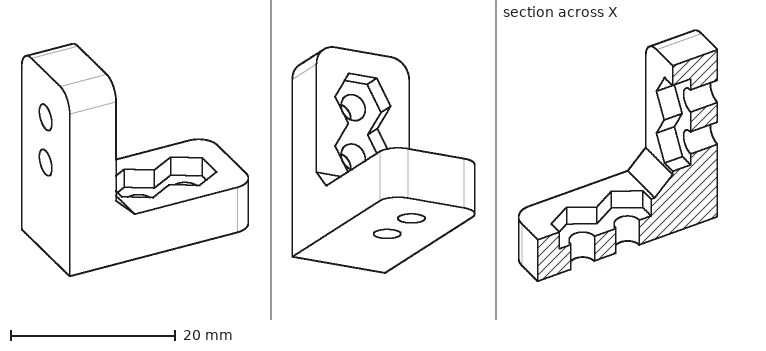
import cadquery as cq

pitch = 6.35
corner_radius = 2.54
gusset = 2.54
hole_diameter = 3.3
nut_sides = 6
nut_across_corners = 7.62
nut_depth = 2.54

thickness = pitch
width = 2 * pitch
leg_length = 4 * pitch
hole_distances = (2 * pitch, 3 * pitch)


def bracket_body():
    """L-shaped profile in the YZ plane, centred on X, with rounded leg ends."""
    profile = [
        (0, 0),
        (leg_length, 0),
        (leg_length, thickness),
        (thickness + gusset, thickness),
        (thickness, thickness + gusset),
        (thickness, leg_length),
        (0, leg_length),
    ]
    body = cq.Workplane("YZ").polyline(profile).close().extrude(width / 2, both=True)
    body = body.faces(">Y").edges("|Z").fillet(corner_radius)
    return body.faces(">Z").edges("|Y").fillet(corner_radius)


def base_cutters():
    """Through holes and overlapping hexagonal nut pockets of the base leg."""
    centers = [(0, distance) for distance in hole_distances]
    cutters = cq.Workplane("XY").pushPoints(centers).circle(hole_diameter / 2).extrude(thickness)
    pocket_floor = cq.Workplane("XY").workplane(offset=thickness - nut_depth)
    for center in centers:
        pocket = pocket_floor.moveTo(*center).polygon(nut_sides, nut_across_corners).extrude(nut_depth)
        cutters = cutters.union(pocket)
    return cutters


def upright_cutters():
    """The same cutters for the upright: half a turn about the Y = Z line swaps the two legs."""
    return base_cutters().rotate((0, 0, 0), (0, 1, 1), 180)


result = bracket_body().cut(base_cutters()).cut(upright_cutters())